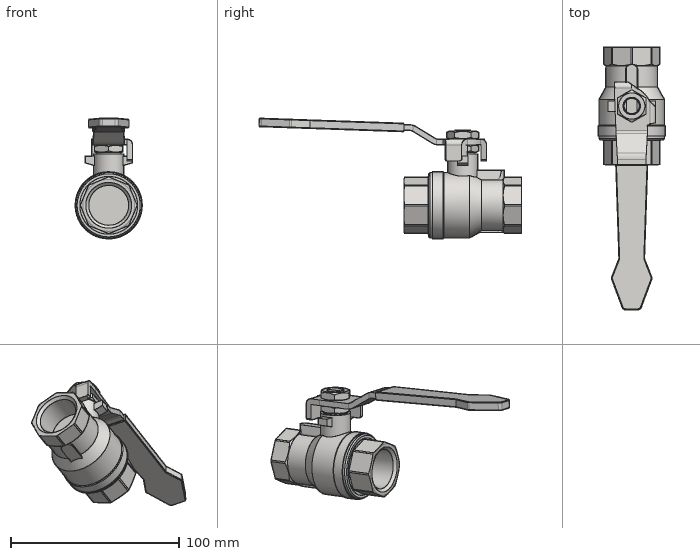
import cadquery as cq
import math


OVERALL_LENGTH = 156.0

END_Y = 35.0
COLLAR_RADIUS = 20.0
BODY_RADIUS = 19.5
NECK_RADIUS = 15.5
NECK_END_Y = 23.9
NECK_CORE_Y = END_Y - 1.5
CONE_SMALL_Y = 11.2
CONE_LARGE_Y = 3.9
STEP_START_Y = -11.2
STEP_END_Y = -11.9
COLLAR_END_Y = -18.0
RIM_RADIUS = 19.5
RIM_EDGE_Y = -19.3
RIM_FACE_RADIUS = 18.7
RIM_FACE_Y = -20.3
HUB_RADIUS = 17.2
HUB_FACE_Y = -20.6

OCTAGON_APOTHEM = 15.6
OCTAGON_CORNER_RADIUS = OCTAGON_APOTHEM / math.cos(math.pi / 8)
OCTAGON_TURNED_RADIUS = 16.7
CORNER_CHAMFER_LENGTH = 1.0
FRONT_CHAMFER_LENGTH = 0.3

BORE_RADIUS = 11.9
MOUTH_RADIUS = 13.5
PORT_DEPTH = 17.2

RIB_WIDTH = 7.6
RIB_CREST_WIDTH = 6.2
RIB_END_Y = 24.7
RIB_TOP_Z = 20.9
RIB_BOTTOM_Z = -16.2

TOWER_RADIUS = 9.0
TOWER_TOP_Z = 30.6
GLAND_RADIUS = 7.3
LUG_REACH = 14.0
LUG_WIDTH = 6.2
LUG_TOP_Z = 29.2
LUG_TIP_Z = 25.1
LUG_ROOT_Z = 23.7
STEM_RADIUS = 4.5
STEM_FLAT_WIDTH = 6.2
STEM_TOP_Z = 44.8

NUT_FLATS = 16.7
NUT_CORNER_RADIUS = NUT_FLATS / math.sqrt(3)
NUT_FACE_RADIUS = 7.8
NUT_CHAMFER_HEIGHT = 1.0
NUT_MOUTH_RADIUS = 5.1
NUT_MOUTH_DEPTH = 1.5
LOWER_NUT_Z = 31.4
UPPER_NUT_TOP_Z = 44.2

PLATE_THICKNESS = 3.5
PLATE_TOP_Z = 39.3
PLATE_BOTTOM_Z = PLATE_TOP_Z - PLATE_THICKNESS
RAISED_TOP_Z = 47.9
RISE_START_Y = -15.6
RISE_END_Y = -29.6
RISE_ANGLE = math.atan2(RAISED_TOP_Z - PLATE_TOP_Z, RISE_START_Y - RISE_END_Y)
BEND_INNER_RADIUS = 3.6
BEND_OUTER_RADIUS = BEND_INNER_RADIUS + PLATE_THICKNESS
TAB_REACH = 14.2
TAB_BEND = TAB_REACH - PLATE_THICKNESS
TAB_BOTTOM_Z = 26.2
TAB_CORNER_CHAMFER = 1.0
REAR_TAB_LEFT_X = -10.1
REAR_TAB_RIGHT_X = -2.0
SIDE_TAB_REAR_Y = -0.6
SIDE_TAB_FRONT_Y = -10.0
SIDE_BEND_FRONT_Y = -10.6
SIDE_NOTCH_Y = -11.7
CORNER_ARC_START = (3.5, 10.5)
CORNER_ARC_MIDDLE = (7.8, 7.0)
CORNER_ARC_END = (TAB_BEND, 2.8)
TAPER_START_Y = 4.7
PLATE_HALF_WIDTH = 9.4
STRIP_HALF_WIDTH = 8.6

GRIP_START_Y = -35.0
PLATE_END_Y = GRIP_START_Y - 3.1
GRIP_END_Y = END_Y - OVERALL_LENGTH
GRIP_END_TOP_Z = 51.8
GRIP_THICKNESS = 5.1
GRIP_TILT = 2.0
GRIP_START_HALF_WIDTH = 9.5
GRIP_WAIST_Y = -90.8
GRIP_WAIST_HALF_WIDTH = 7.6
PADDLE_Y = -102.3
PADDLE_HALF_WIDTH = 12.2
TIP_HALF_WIDTH = 5.1
TIP_FILLET = 2.2
PADDLE_FILLET = 1.5
GRIP_EDGE_CHAMFER = 0.5


def disc(radius, z_low, z_high):
    """Cylinder on the stem axis between two heights."""
    return cq.Workplane("XY").workplane(offset=z_low).circle(radius).extrude(z_high - z_low)


def turned(points):
    """Revolve a (radius, y) outline about the flow axis."""
    return cq.Workplane("XY").polyline(points).close().revolve(360, (0, 0, 0), (0, 1, 0))


def octagon_end(y_low, y_high, turned_points):
    """Octagonal prism along Y, corners on X and Z, turned to the given outline."""
    prism = (
        cq.Workplane("XZ", origin=(0, y_high, 0))
        .polygon(8, 2 * OCTAGON_CORNER_RADIUS)
        .extrude(y_high - y_low)
    )
    return prism.intersect(turned(turned_points))


def make_shell():
    core = turned([
        (0, NECK_CORE_Y),
        (NECK_RADIUS, NECK_CORE_Y),
        (NECK_RADIUS, CONE_SMALL_Y),
        (BODY_RADIUS, CONE_LARGE_Y),
        (BODY_RADIUS, STEP_START_Y),
        (COLLAR_RADIUS, STEP_END_Y),
        (COLLAR_RADIUS, COLLAR_END_Y),
        (RIM_RADIUS, COLLAR_END_Y),
        (RIM_RADIUS, RIM_EDGE_Y),
        (RIM_FACE_RADIUS, RIM_FACE_Y),
        (HUB_RADIUS, RIM_FACE_Y),
        (HUB_RADIUS, HUB_FACE_Y),
        (0, HUB_FACE_Y),
    ])
    rear = octagon_end(NECK_END_Y, END_Y, [
        (0, NECK_END_Y),
        (NECK_RADIUS, NECK_END_Y),
        (OCTAGON_TURNED_RADIUS, NECK_END_Y + CORNER_CHAMFER_LENGTH),
        (OCTAGON_TURNED_RADIUS, END_Y),
        (0, END_Y),
    ])
    front = octagon_end(-END_Y, RIM_FACE_Y, [
        (0, RIM_FACE_Y),
        (OCTAGON_TURNED_RADIUS, RIM_FACE_Y),
        (OCTAGON_TURNED_RADIUS, FRONT_CHAMFER_LENGTH - END_Y),
        (NECK_RADIUS, -END_Y),
        (0, -END_Y),
    ])
    return core.union(rear).union(front)


def make_rib():
    """Round-ended rib, leaning in above the neck and just showing below it."""
    half_width = RIB_WIDTH / 2
    half_crest = RIB_CREST_WIDTH / 2
    bar = (
        cq.Workplane("XZ")
        .polyline([
            (-half_crest, RIB_TOP_Z),
            (half_crest, RIB_TOP_Z),
            (half_width, NECK_RADIUS),
            (half_width, RIB_BOTTOM_Z),
            (-half_width, RIB_BOTTOM_Z),
            (-half_width, NECK_RADIUS),
        ])
        .close()
        .extrude(-RIB_END_Y)
    )
    rounded_end = cq.Workplane("XY").slot2D(2 * RIB_END_Y, RIB_WIDTH, 90).extrude(RIB_TOP_Z, both=True)
    return bar.intersect(rounded_end)


def make_port(side):
    """Blind port with a countersunk mouth at the +Y (1) or -Y (-1) end."""
    countersink = MOUTH_RADIUS - BORE_RADIUS
    return turned([
        (0, side * END_Y),
        (MOUTH_RADIUS, side * END_Y),
        (BORE_RADIUS, side * (END_Y - countersink)),
        (BORE_RADIUS, side * (END_Y - PORT_DEPTH)),
        (0, side * (END_Y - PORT_DEPTH)),
    ])


def make_lugs():
    """Opposed lever stops with undersides sloping up to the tips."""
    return (
        cq.Workplane("XZ")
        .polyline([
            (-LUG_REACH, LUG_TOP_Z),
            (-LUG_REACH, LUG_TIP_Z),
            (-TOWER_RADIUS, LUG_ROOT_Z),
            (TOWER_RADIUS, LUG_ROOT_Z),
            (LUG_REACH, LUG_TIP_Z),
            (LUG_REACH, LUG_TOP_Z),
        ])
        .close()
        .extrude(LUG_WIDTH / 2, both=True)
    )


def make_nut(z_low, z_high):
    """Hexagon nut with corners on the Y axis, chamfered on both faces."""
    height = z_high - z_low
    hexagon = (
        cq.Workplane("XY", origin=(0, 0, z_low))
        .polygon(6, 2 * NUT_CORNER_RADIUS)
        .extrude(height)
        .rotate((0, 0, 0), (0, 0, 1), 90)
    )
    envelope = (
        cq.Workplane("XZ")
        .polyline([
            (0, z_low),
            (NUT_FACE_RADIUS, z_low),
            (NUT_CORNER_RADIUS, z_low + NUT_CHAMFER_HEIGHT),
            (NUT_CORNER_RADIUS, z_high - NUT_CHAMFER_HEIGHT),
            (NUT_FACE_RADIUS, z_high),
            (0, z_high),
        ])
        .close()
        .revolve(360, (0, 0, 0), (0, 1, 0))
    )
    return hexagon.intersect(envelope)


def make_stem():
    """Stem reaching through the upper nut, with two flats at its top."""
    shank = disc(STEM_RADIUS, TOWER_TOP_Z, STEM_TOP_Z)
    flats = (
        cq.Workplane("XY", origin=(0, 0, STEM_TOP_Z))
        .rect(STEM_FLAT_WIDTH, 2 * STEM_RADIUS)
        .extrude(-(STEM_TOP_Z - TOWER_TOP_Z))
    )
    return shank.intersect(flats)


def make_stem_recess():
    """Countersunk nut mouth around the flatted top of the stem."""
    return (
        cq.Workplane("XY", origin=(0, 0, UPPER_NUT_TOP_Z))
        .circle(NUT_MOUTH_RADIUS)
        .workplane(offset=-NUT_MOUTH_DEPTH)
        .circle(STEM_RADIUS)
        .loft()
    )


def make_plate_outline():
    """Plan outline of the lever plate and its two tabs, as a tall prism."""
    return (
        cq.Workplane("XY", origin=(0, 0, TAB_BOTTOM_Z))
        .moveTo(REAR_TAB_LEFT_X, TAB_REACH)
        .lineTo(REAR_TAB_RIGHT_X, TAB_REACH)
        .lineTo(*CORNER_ARC_START)
        .threePointArc(CORNER_ARC_MIDDLE, CORNER_ARC_END)
        .lineTo(TAB_REACH, SIDE_TAB_REAR_Y)
        .lineTo(TAB_REACH, SIDE_TAB_FRONT_Y)
        .lineTo(TAB_BEND, SIDE_BEND_FRONT_Y)
        .lineTo(PLATE_HALF_WIDTH, SIDE_NOTCH_Y)
        .lineTo(PLATE_HALF_WIDTH, RISE_START_Y)
        .lineTo(STRIP_HALF_WIDTH, RISE_END_Y)
        .lineTo(STRIP_HALF_WIDTH, PLATE_END_Y)
        .lineTo(-STRIP_HALF_WIDTH, PLATE_END_Y)
        .lineTo(-STRIP_HALF_WIDTH, RISE_END_Y)
        .lineTo(-PLATE_HALF_WIDTH, RISE_START_Y)
        .lineTo(REAR_TAB_LEFT_X, TAPER_START_Y)
        .close()
        .extrude(RAISED_TOP_Z - TAB_BOTTOM_Z)
    )


def make_plate():
    """Strip bent down at the rear, raised to the grip, with a side tab."""
    miter = PLATE_THICKNESS * math.tan(RISE_ANGLE / 2)
    raised_bottom_z = RAISED_TOP_Z - PLATE_THICKNESS
    strip = (
        cq.Workplane("YZ", origin=(-TAB_REACH, 0, 0))
        .moveTo(TAB_REACH, TAB_BOTTOM_Z)
        .lineTo(TAB_REACH, PLATE_BOTTOM_Z)
        .radiusArc((TAB_BEND, PLATE_TOP_Z), -PLATE_THICKNESS)
        .lineTo(RISE_START_Y, PLATE_TOP_Z)
        .lineTo(RISE_END_Y, RAISED_TOP_Z)
        .lineTo(PLATE_END_Y, RAISED_TOP_Z)
        .lineTo(PLATE_END_Y, raised_bottom_z)
        .lineTo(RISE_END_Y - miter, raised_bottom_z)
        .lineTo(RISE_START_Y - miter, PLATE_BOTTOM_Z)
        .lineTo(TAB_BEND, PLATE_BOTTOM_Z)
        .lineTo(TAB_BEND, TAB_BOTTOM_Z)
        .close()
        .extrude(TAB_REACH + TAB_BEND)
    )
    bends = [
        (RISE_START_Y, PLATE_TOP_Z, BEND_INNER_RADIUS),
        (RISE_START_Y - miter, PLATE_BOTTOM_Z, BEND_OUTER_RADIUS),
        (RISE_END_Y, RAISED_TOP_Z, BEND_OUTER_RADIUS),
        (RISE_END_Y - miter, raised_bottom_z, BEND_INNER_RADIUS),
    ]
    for y, z, radius in bends:
        bend = cq.selectors.NearestToPointSelector(((TAB_BEND - TAB_REACH) / 2, y, z))
        strip = strip.edges(bend).fillet(radius)
    side_tab = (
        cq.Workplane("XZ")
        .moveTo(0, PLATE_TOP_Z)
        .lineTo(TAB_BEND, PLATE_TOP_Z)
        .radiusArc((TAB_REACH, PLATE_BOTTOM_Z), PLATE_THICKNESS)
        .lineTo(TAB_REACH, TAB_BOTTOM_Z)
        .lineTo(TAB_BEND, TAB_BOTTOM_Z)
        .lineTo(TAB_BEND, PLATE_BOTTOM_Z)
        .lineTo(0, PLATE_BOTTOM_Z)
        .close()
        .extrude(TAB_REACH, both=True)
    )
    outline = make_plate_outline()
    strip = strip.intersect(outline)
    strip = strip.faces("<Z").edges("<X or >X").chamfer(TAB_CORNER_CHAMFER)
    side_tab = side_tab.intersect(outline)
    side_tab = side_tab.faces("<Z").edges("<Y or >Y").chamfer(TAB_CORNER_CHAMFER)
    return strip.union(side_tab)


def make_grip():
    """Sleeve that widens into a paddle, tilted about its lower tip edge."""
    half = [
        (GRIP_START_HALF_WIDTH, GRIP_START_Y),
        (GRIP_WAIST_HALF_WIDTH, GRIP_WAIST_Y),
        (PADDLE_HALF_WIDTH, PADDLE_Y),
        (TIP_HALF_WIDTH, GRIP_END_Y),
    ]
    mirrored = [(-x, y) for x, y in reversed(half)]
    grip = (
        cq.Workplane("XY", origin=(0, 0, GRIP_END_TOP_Z - GRIP_THICKNESS))
        .polyline(half + mirrored)
        .close()
        .extrude(GRIP_THICKNESS)
    )
    grip = grip.edges("|Z and <Y").fillet(TIP_FILLET)
    grip = grip.edges("|Z").edges("<X or >X").fillet(PADDLE_FILLET)
    grip = grip.faces("<Z or >Z").edges().chamfer(GRIP_EDGE_CHAMFER)
    tip_bottom_z = GRIP_END_TOP_Z - GRIP_THICKNESS
    return grip.rotate((0, GRIP_END_Y, tip_bottom_z), (1, GRIP_END_Y, tip_bottom_z), -GRIP_TILT)


tower = disc(TOWER_RADIUS, 0, TOWER_TOP_Z)
gland = disc(GLAND_RADIUS, TOWER_TOP_Z, LOWER_NUT_Z)
upper_nut = make_nut(PLATE_TOP_Z, UPPER_NUT_TOP_Z).cut(make_stem_recess())

result = (
    make_shell()
    .union(make_rib())
    .union(tower)
    .union(make_lugs())
    .union(gland)
    .union(make_nut(LOWER_NUT_Z, PLATE_BOTTOM_Z))
    .union(make_plate())
    .union(upper_nut)
    .union(make_stem())
    .union(make_grip())
    .cut(make_port(1))
    .cut(make_port(-1))
)